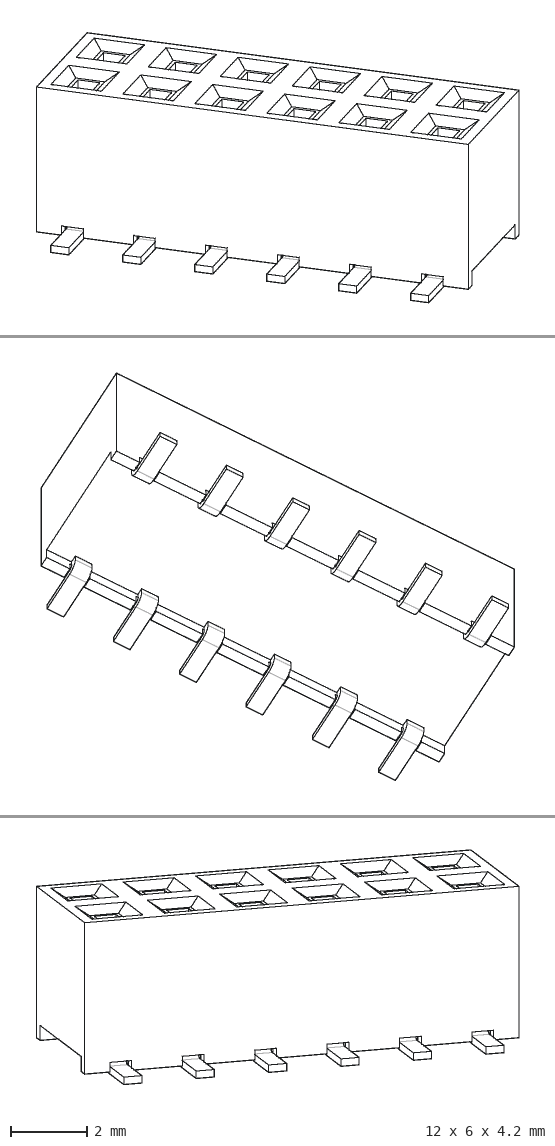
import cadquery as cq

columns = 6
rows = 2
body_length = 12.0
pitch = body_length / columns
body_width = rows * pitch
total_height = 4.2
body_bottom = 0.1

wall = 0.3
channel_top = 0.5

funnel_top_size = 1.4
funnel_bottom_size = 0.8
funnel_depth = 0.2
contact_hole_size = 0.6
contact_hole_depth = 0.3

lead_span = 6.0
lead_width = 0.5
lead_thickness = 0.2
bend_inner_radius = 0.1
bend_outer_radius = bend_inner_radius + lead_thickness
notch_width = 0.6
notch_top = 0.36

column_positions = [(i - (columns - 1) / 2) * pitch for i in range(columns)]
row_positions = [(i - (rows - 1) / 2) * pitch for i in range(rows)]


def box_between(length, width, bottom, top):
    """Box centred on the Z axis between two heights."""
    return cq.Workplane("XY").workplane(offset=bottom).rect(length, width).extrude(top - bottom)


def make_body():
    """Block with an open channel along its underside."""
    block = box_between(body_length, body_width, body_bottom, total_height)
    return block.cut(box_between(body_length, body_width - 2 * wall, body_bottom, channel_top))


def make_socket():
    """Funnel that ends in a flat ledge around a square contact hole."""
    funnel = (
        cq.Workplane("XY")
        .workplane(offset=total_height)
        .rect(funnel_top_size, funnel_top_size)
        .workplane(offset=-funnel_depth)
        .rect(funnel_bottom_size, funnel_bottom_size)
        .loft(ruled=True)
    )
    funnel_bottom = total_height - funnel_depth
    hole_floor = funnel_bottom - contact_hole_depth
    contact_hole = box_between(contact_hole_size, contact_hole_size, hole_floor, funnel_bottom)
    return funnel.union(contact_hole)


def make_lead():
    """Lead on the +Y side: down along the inside of the wall, then bent outwards under it."""
    outer_face = body_width / 2 - wall
    inner_face = outer_face - lead_thickness
    tip = lead_span / 2
    profile = (
        cq.Workplane("YZ")
        .moveTo(inner_face, channel_top)
        .lineTo(inner_face, bend_outer_radius)
        .radiusArc((inner_face + bend_outer_radius, 0), -bend_outer_radius)
        .lineTo(tip, 0)
        .lineTo(tip, lead_thickness)
        .lineTo(outer_face + bend_inner_radius, lead_thickness)
        .radiusArc((outer_face, lead_thickness + bend_inner_radius), bend_inner_radius)
        .lineTo(outer_face, channel_top)
        .close()
    )
    return profile.extrude(lead_width / 2, both=True)


result = make_body()

for x in column_positions:
    result = result.cut(box_between(notch_width, body_width, body_bottom, notch_top).translate((x, 0, 0)))

socket = make_socket()
for x in column_positions:
    for y in row_positions:
        result = result.cut(socket.translate((x, y, 0)))

lead = make_lead()
lead_pair = lead.union(lead.mirror("XZ"))
for x in column_positions:
    result = result.union(lead_pair.translate((x, 0, 0)))